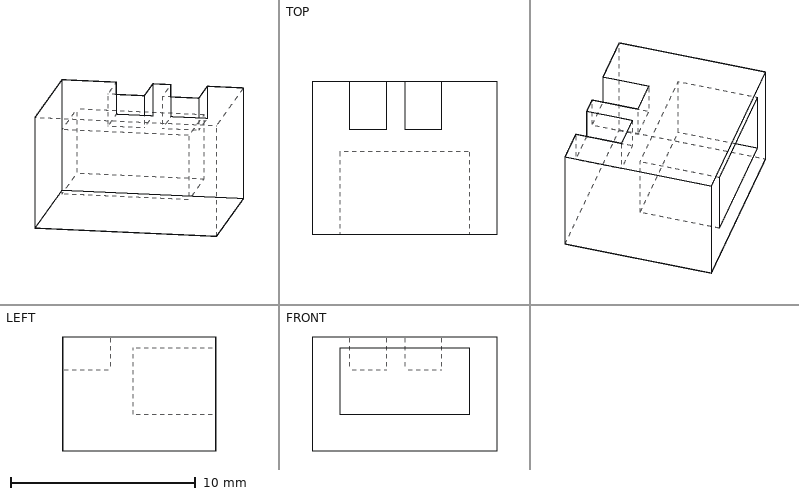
import cadquery as cq

LENGTH = 10.0
DEPTH = 8.3
HEIGHT = 6.2

POCKET_LENGTH = 7.0
POCKET_FLOOR = 2.0
POCKET_HEIGHT = 3.6

PAD_LENGTH = 1.0
PAD_DEPTH = 4.5
PAD_HEIGHT = POCKET_FLOOR

POCKET_DEPTH = PAD_DEPTH

SLOT_LENGTH = 2.0
SLOT_DEPTH = 2.6
SLOT_HEIGHT = 1.8
SLOT_FIRST_X = 2.0
SLOT_PITCH = 3.0
SLOT_COUNT = 2


def corner_box(size, corner):
    """Box of the given size with its lowest corner at the given point."""
    return cq.Workplane("XY").box(*size, centered=False).translate(corner)


def make_pocket():
    pocket_x = (LENGTH - POCKET_LENGTH) / 2
    return corner_box((POCKET_LENGTH, POCKET_DEPTH, POCKET_HEIGHT), (pocket_x, 0, POCKET_FLOOR))


def make_slot(index):
    slot_x = SLOT_FIRST_X + index * SLOT_PITCH
    corner = (slot_x, DEPTH - SLOT_DEPTH, HEIGHT - SLOT_HEIGHT)
    return corner_box((SLOT_LENGTH, SLOT_DEPTH, SLOT_HEIGHT), corner)


def make_pad(pad_x):
    return corner_box((PAD_LENGTH, PAD_DEPTH, PAD_HEIGHT), (pad_x, 0, 0))


housing = corner_box((LENGTH, DEPTH, HEIGHT), (0, 0, 0)).cut(make_pocket())

for slot_index in range(SLOT_COUNT):
    housing = housing.cut(make_slot(slot_index))

for pad_x in (0, LENGTH - PAD_LENGTH):
    pad = make_pad(pad_x)
    housing = housing.cut(pad, clean=False).union(pad, clean=False)

result = housing